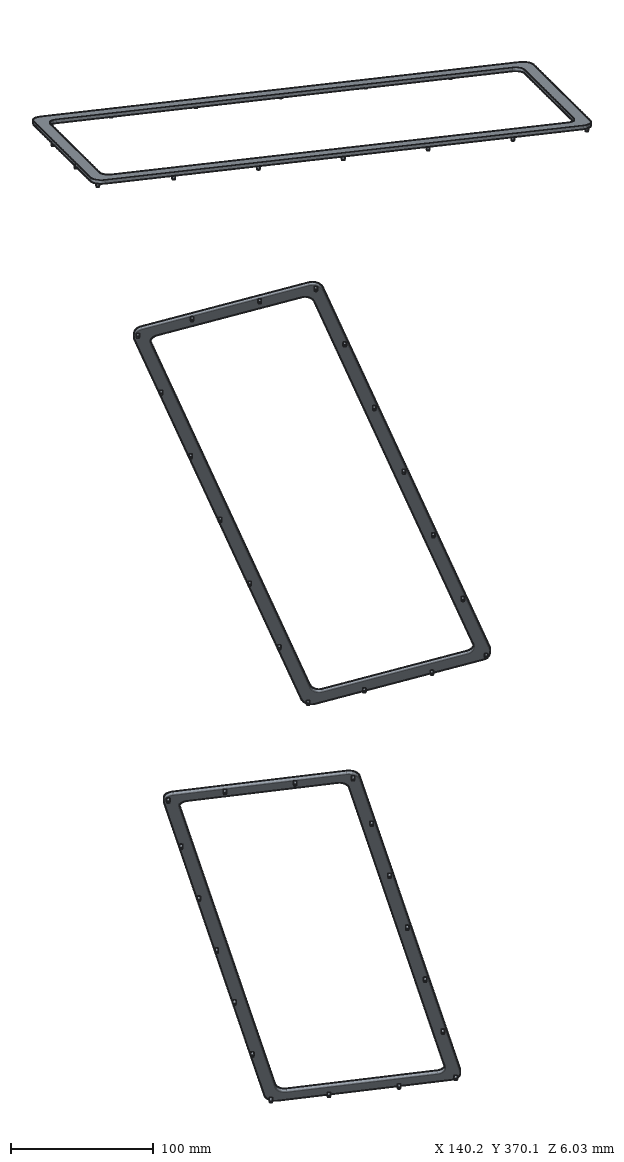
import cadquery as cq

length_x = 140.19
length_y = 370.11
total_height = 6.03
frame_width = 9.5
frame_thickness = 3.03
outer_corner_radius = 8.0
inner_corner_radius = 6.7
bottom_edge_radius = 0.35

peg_diameter = 2.5
peg_height = total_height - frame_thickness
peg_taper_height = 1.0
peg_taper_inset = 0.3
peg_edge_inset = 1.9
corner_peg_inset = 4.0
side_peg_count = 5
side_peg_pitch = 62.8
end_peg_count = 2
end_peg_pitch = 50.2


def rounded_block(size_x, size_y, corner_radius):
    """Upright block of frame thickness, resting on Z = 0, with rounded vertical corners."""
    block = cq.Workplane("XY").rect(size_x, size_y).extrude(frame_thickness)
    return block.edges("|Z").fillet(corner_radius)


def rounded_frame():
    """Rectangular ring with its inner and outer bottom edges rounded."""
    opening_x = length_x - 2 * frame_width
    opening_y = length_y - 2 * frame_width
    outer_block = rounded_block(length_x, length_y, outer_corner_radius)
    opening = rounded_block(opening_x, opening_y, inner_corner_radius)
    return outer_block.cut(opening).faces("<Z").edges().fillet(bottom_edge_radius)


def centred_row(count, pitch):
    """Positions of evenly spaced items centred on zero."""
    return [(i - (count - 1) / 2) * pitch for i in range(count)]


def peg_centres():
    """Centres of the pegs along the four sides and at the four corners."""
    side_x = length_x / 2 - peg_edge_inset
    end_y = length_y / 2 - peg_edge_inset
    corner_x = length_x / 2 - corner_peg_inset
    corner_y = length_y / 2 - corner_peg_inset
    centres = []
    for side in (-1, 1):
        centres += [(side * side_x, y) for y in centred_row(side_peg_count, side_peg_pitch)]
        centres += [(x, side * end_y) for x in centred_row(end_peg_count, end_peg_pitch)]
        centres += [(side * corner_x, y) for y in (-corner_y, corner_y)]
    return centres


def tapered_pegs():
    """Round pegs hanging from the frame, narrowing toward their free ends."""
    pegs = cq.Workplane("XY").pushPoints(peg_centres()).circle(peg_diameter / 2).extrude(-peg_height)
    return pegs.faces("<Z").chamfer(peg_taper_height, peg_taper_inset)


result = rounded_frame().union(tapered_pegs())